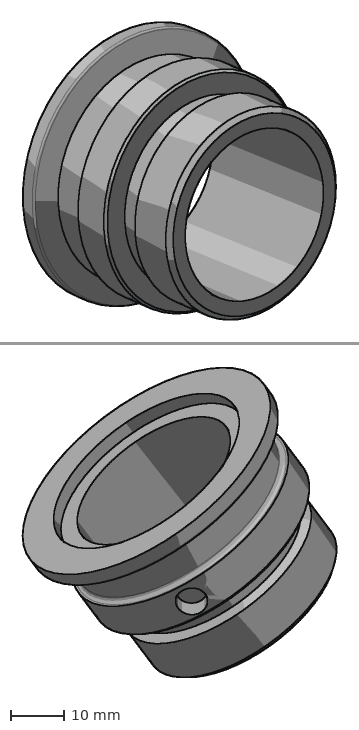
import cadquery as cq
import math

flange_diameter = 55.0
flange_cone_end = 4.4
flange_cone_angle = 15.0
flange_rim_radius = 0.5

neck_diameter = 45.0
neck_fillet = 1.0

collar_diameter = 48.0
collar_start = 12.0
collar_end = 20.0
collar_chamfer = 0.5

groove_diameter = 38.5
groove_end = 24.0
spigot_diameter = 41.91
spigot_start = 25.0
spigot_chamfer = 1.0
total_length = 35.0

bore_diameter = 34.0
recess_diameter = 41.2
recess_depth = 2.6

side_hole_diameter = 6.0
side_hole_depth = 4.0


def outer_body():
    """Solid of revolution about X, without its bore."""
    flange_r = flange_diameter / 2
    neck_r = neck_diameter / 2
    collar_r = collar_diameter / 2
    groove_r = groove_diameter / 2
    spigot_r = spigot_diameter / 2

    slope = math.radians(flange_cone_angle)
    cone_start = flange_cone_end - (flange_r - neck_r) * math.tan(slope)
    tangent_length = flange_rim_radius * math.tan((math.pi / 2 - slope) / 2)
    rim_center_x = cone_start - tangent_length
    rim_center_r = flange_r - flange_rim_radius

    def rim_point(angle):
        """Point on the rim arc, at an angle measured from the X direction."""
        x = rim_center_x + flange_rim_radius * math.cos(angle)
        r = rim_center_r + flange_rim_radius * math.sin(angle)
        return (x, r)

    fillet_start = collar_start - neck_fillet
    fillet_mid_x = fillet_start + neck_fillet * math.sin(math.pi / 4)
    fillet_mid_r = neck_r + neck_fillet * (1 - math.cos(math.pi / 4))

    profile = (
        cq.Workplane("XY")
        .moveTo(0, 0)
        .lineTo(0, flange_r)
        .lineTo(rim_center_x, flange_r)
        .threePointArc(rim_point((math.pi / 2 + slope) / 2), rim_point(slope))
        .lineTo(flange_cone_end, neck_r)
        .lineTo(fillet_start, neck_r)
        .threePointArc((fillet_mid_x, fillet_mid_r), (collar_start, neck_r + neck_fillet))
        .lineTo(collar_start, collar_r)
        .lineTo(collar_end - collar_chamfer, collar_r)
        .lineTo(collar_end, collar_r - collar_chamfer)
        .lineTo(collar_end, groove_r)
        .lineTo(groove_end, groove_r)
        .lineTo(spigot_start, spigot_r)
        .lineTo(total_length - spigot_chamfer, spigot_r)
        .lineTo(total_length, spigot_r - spigot_chamfer)
        .lineTo(total_length, 0)
        .close()
    )
    return profile.revolve(360, (0, 0, 0), (1, 0, 0))


def axial_cylinder(diameter, length):
    """Cylinder along +X that starts on the flange face."""
    return cq.Workplane("YZ").circle(diameter / 2).extrude(length)


def side_hole():
    """Cutter that enters the collar from -Z, halfway along its width."""
    center_x = (collar_start + collar_end) / 2
    return (
        cq.Workplane("XY", origin=(center_x, 0, -collar_diameter / 2))
        .circle(side_hole_diameter / 2)
        .extrude(side_hole_depth)
    )


bore = axial_cylinder(bore_diameter, total_length)
recess = axial_cylinder(recess_diameter, recess_depth)
result = outer_body().cut(bore).cut(recess).cut(side_hole())